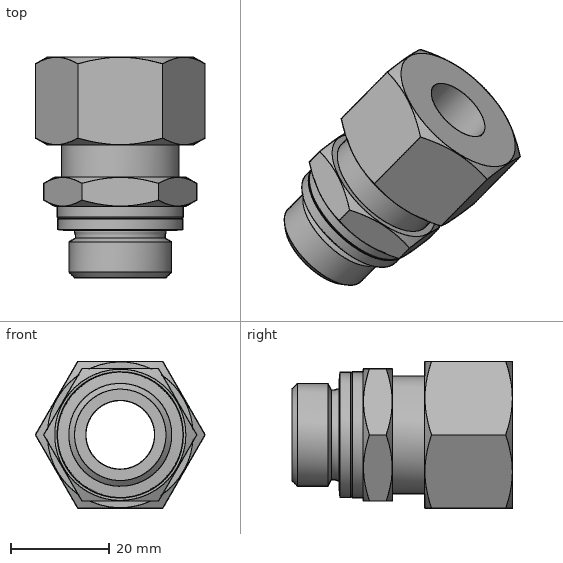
import cadquery as cq
import math

total_length = 45.0

large_flats = 30.0
large_length = 17.95
small_flats = 27.0
small_length = 6.0
small_nut_start = 14.55
nut_chamfer_angle = 30.0
nut_end_inset = 0.15

body_radius = 12.0
bore_radius = 7.0
collar_radius = 12.88
collar_length = 2.45
collar_chamfer = 0.25
groove_radius = 12.5
groove_width = 0.15
ring_radius = 12.8
ring_length = 2.15
face_radius = 10.7
face_cone_length = 0.23
neck_shoulder_radius = 9.35
neck_shoulder_length = 0.25
neck_taper_length = 0.6
neck_radius = 9.2
thread_radius = 10.5
thread_length = 7.35
thread_tip_radius = 9.3
thread_chamfer_length = 1.15
neck_cone_length = 0.7

collar_start = small_nut_start - collar_length
ring_end = collar_start - groove_width
ring_start = ring_end - ring_length
face_start = ring_start - face_cone_length
shoulder_start = face_start - neck_shoulder_length
taper_start = shoulder_start - neck_taper_length
neck_start = thread_length + neck_cone_length
large_nut_start = total_length - large_length


def revolve_profile(points):
    """Revolve a (radius, y) outline about the Y axis."""
    return cq.Workplane("XY").polyline(points).close().revolve(360, (0, 0, 0), (0, 1, 0))


def hex_nut(flats, start, length):
    """Hexagonal prism with corners on X and both ends turned to a cone."""
    corner_radius = flats / math.sqrt(3)
    end_radius = flats / 2 - nut_end_inset
    end = start + length
    chamfer_length = (corner_radius - end_radius) * math.tan(math.radians(nut_chamfer_angle))
    prism = (
        cq.Workplane("XZ", origin=(0, end, 0))
        .polygon(6, 2 * corner_radius)
        .extrude(length)
    )
    envelope = revolve_profile([
        (0, start),
        (end_radius, start),
        (corner_radius, start + chamfer_length),
        (corner_radius, end - chamfer_length),
        (end_radius, end),
        (0, end),
    ])
    return prism.intersect(envelope)


def turned_body():
    """Thread, undercut neck, sealing ring, collar and cylindrical body."""
    return revolve_profile([
        (0, 0),
        (thread_tip_radius, 0),
        (thread_radius, thread_chamfer_length),
        (thread_radius, thread_length),
        (neck_radius, neck_start),
        (neck_radius, taper_start),
        (neck_shoulder_radius, shoulder_start),
        (neck_shoulder_radius, face_start),
        (face_radius, face_start),
        (ring_radius, ring_start),
        (ring_radius, ring_end),
        (groove_radius, ring_end),
        (groove_radius, collar_start),
        (collar_radius - collar_chamfer, collar_start),
        (collar_radius, collar_start + collar_chamfer),
        (collar_radius, small_nut_start),
        (body_radius, small_nut_start),
        (body_radius, total_length),
        (0, total_length),
    ])


bore = cq.Workplane("XZ", origin=(0, total_length, 0)).circle(bore_radius).extrude(total_length)

result = (
    turned_body()
    .union(hex_nut(small_flats, small_nut_start, small_length))
    .union(hex_nut(large_flats, large_nut_start, large_length))
    .cut(bore)
)